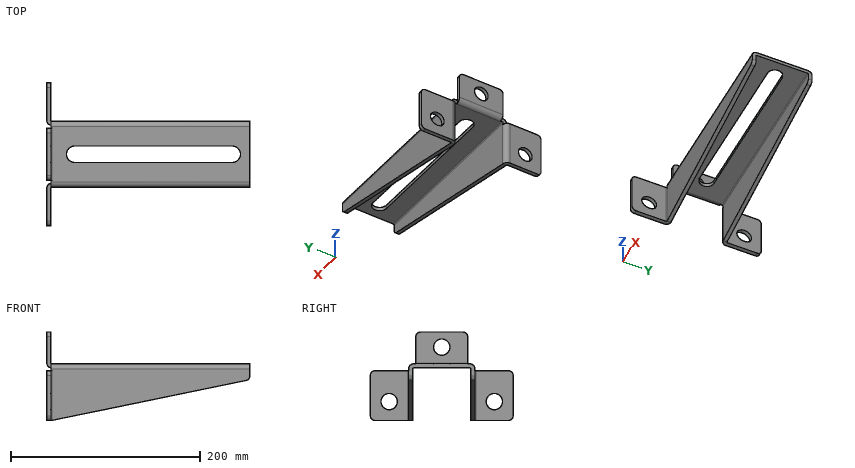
import cadquery as cq


thickness = 4.5
inner_bend = 1.0
outer_bend = inner_bend + thickness

total_length = 214.5
channel_width = 70.0
channel_top = 60.0
free_end_height = 17.0
corner_radius = 5.0

tab_span = 151.0
side_tab_height = 52.75
top_tab_width = 55.0
total_height = 93.5
hole_diameter = 17.0
side_hole_inset = 20.0
top_hole_inset = 16.0

slot_width = 17.0
slot_length = 183.5
slot_end_margin = 10.0

half_width = channel_width / 2
half_span = tab_span / 2
inner_half_width = half_width - thickness
plate_underside = channel_top - thickness


def channel():
    """Inverted U section with rounded bends, running from the tabs' inner face."""
    length = total_length - thickness
    outer = (
        cq.Workplane("XY")
        .box(length, channel_width, channel_top, centered=(False, True, False))
        .edges("|X and >Z")
        .fillet(outer_bend)
    )
    inner = (
        cq.Workplane("XY")
        .box(length, 2 * inner_half_width, plate_underside, centered=(False, True, False))
        .edges("|X and >Z")
        .fillet(inner_bend)
    )
    return outer.cut(inner).translate((thickness, 0, 0))


def side_outline():
    """Tapered silhouette of the channel, extruded across its whole width."""
    free_end_bottom = channel_top - free_end_height
    return (
        cq.Workplane("XZ")
        .moveTo(thickness, 0)
        .lineTo(outer_bend, 0)
        .lineTo(total_length, free_end_bottom)
        .lineTo(total_length, channel_top)
        .lineTo(thickness, channel_top)
        .close()
        .extrude(half_width, both=True)
        .edges("|Y and >X")
        .edges("<Z")
        .fillet(corner_radius)
    )


def bend_relief():
    """Volume of the channel's front edge that the bends of the tabs take over."""
    depth = outer_bend - thickness
    plate_part = (
        cq.Workplane("XY")
        .box(depth, top_tab_width, thickness, centered=(False, True, False))
        .translate((thickness, 0, plate_underside))
    )
    wall_part = (
        cq.Workplane("XY")
        .box(depth, channel_width, side_tab_height, centered=(False, True, False))
        .translate((thickness, 0, 0))
    )
    return plate_part.union(wall_part)


def bent_strip(plane, inner_face, tip):
    """L-shaped strip profile: leaves the channel along X and turns outwards into a tab.

    inner_face is the channel's inside face and tip the tab's far edge,
    both measured along the second axis of the plane.
    """
    outer_face = inner_face + thickness
    bend_end = inner_face + outer_bend
    return (
        cq.Workplane(plane)
        .moveTo(outer_bend, inner_face)
        .radiusArc((0, bend_end), outer_bend)
        .lineTo(0, tip)
        .lineTo(thickness, tip)
        .lineTo(thickness, bend_end)
        .radiusArc((outer_bend, outer_face), -inner_bend)
        .close()
    )


def hole_cutter(y, z):
    """Round mounting hole through a tab, along X."""
    return (
        cq.Workplane("YZ")
        .center(y, z)
        .circle(hole_diameter / 2)
        .extrude(thickness)
    )


def top_tab():
    """Tab bent upwards from the channel top."""
    tab = (
        bent_strip("XZ", plate_underside, total_height)
        .extrude(top_tab_width / 2, both=True)
        .edges("|X and >Z")
        .fillet(corner_radius)
    )
    return tab.cut(hole_cutter(0, total_height - top_hole_inset))


def side_tab():
    """Tab bent outwards from the +Y side wall."""
    tab = (
        bent_strip("XY", inner_half_width, half_span)
        .extrude(side_tab_height)
        .edges("|X and >Y")
        .fillet(corner_radius)
    )
    return tab.cut(hole_cutter(half_span - side_hole_inset, side_hole_inset))


def slot_cutter():
    """Long slot through the channel top."""
    slot_center = total_length - slot_end_margin - slot_length / 2
    return (
        cq.Workplane("XY", origin=(slot_center, 0, plate_underside))
        .slot2D(slot_length, slot_width)
        .extrude(thickness)
    )


body = channel().intersect(side_outline()).cut(bend_relief()).cut(slot_cutter())
left_tab = side_tab()
right_tab = left_tab.mirror("XZ")
result = body.union(top_tab()).union(left_tab).union(right_tab)